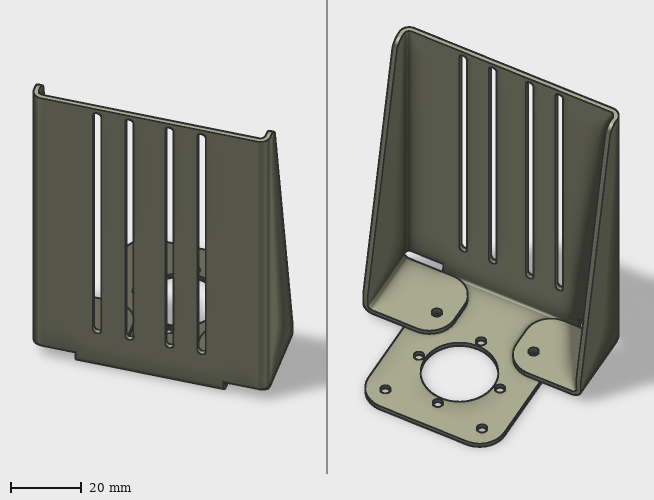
import cadquery as cq
import math

thickness = 1.5
bend_outer = 3.0
bend_inner = bend_outer - thickness

width = 69.8
depth = 54.4
height = 100.0
half_width = width / 2

base_width = 43.6
corner_radius = 8.0
motor_center_y = depth - base_width / 2
motor_bore = 22.0
screw_hole = 3.0
motor_hole_pitch = 31.0
ring_hole_radius = 13.0

side_depth = 25.0
flange_length = 25.0
flange_bottom = thickness
body_bottom = flange_bottom + bend_outer
taper_start_z = 9.0
side_top_depth = 7.0
side_top_radius = 4.0

slot_width = 2.4
slot_bottom = 13.5
slot_top = 98.5
slot_offsets = (5.9, 15.4)


def bent_strip(plane, corner, leg_a, leg_b, length):
    """L-shaped strip with legs along the plane's two axes from a rounded outer corner.

    The strip is extruded by length along the plane normal.
    """
    corner_u, corner_v = corner

    def at(u, v):
        return (corner_u + u, corner_v + v)

    outer_mid = bend_outer * (1 - math.sqrt(0.5))
    inner_mid = bend_outer - bend_inner * math.sqrt(0.5)
    return (
        cq.Workplane(plane)
        .moveTo(*at(leg_a, 0))
        .lineTo(*at(bend_outer, 0))
        .threePointArc(at(outer_mid, outer_mid), at(0, bend_outer))
        .lineTo(*at(0, leg_b))
        .lineTo(*at(thickness, leg_b))
        .lineTo(*at(thickness, bend_outer))
        .threePointArc(at(inner_mid, inner_mid), at(bend_outer, thickness))
        .lineTo(*at(leg_a, thickness))
        .close()
        .extrude(length)
    )


def make_base():
    """Base plate bent up into the front wall."""
    plane = cq.Plane(origin=(-base_width / 2, 0, 0), xDir=(0, 1, 0), normal=(1, 0, 0))
    base = bent_strip(plane, (0, 0), depth, body_bottom, base_width)
    return base.edges("|Z and >Y").fillet(corner_radius)


def make_channel():
    """Front wall with both side walls, tapered toward the top."""
    plane = cq.Plane(origin=(0, 0, body_bottom))
    wall_height = height - body_bottom
    left = bent_strip(plane, (-half_width, 0), half_width, side_depth, wall_height)
    channel = left.union(left.mirror("YZ"))
    side_profile = (
        cq.Workplane("YZ", origin=(-half_width, 0, 0))
        .polyline([
            (0, body_bottom),
            (side_depth, body_bottom),
            (side_depth, taper_start_z),
            (side_top_depth, height),
            (0, height),
        ])
        .close()
        .extrude(width)
        .edges(cq.selectors.NearestToPointSelector((0, side_top_depth, height)))
        .fillet(side_top_radius)
    )
    return channel.intersect(side_profile)


def make_left_flange():
    """Flange folded inward from the bottom of the left side wall onto the base."""
    plane = cq.Plane(origin=(0, side_depth, 0), xDir=(1, 0, 0), normal=(0, -1, 0))
    corner = (-half_width, flange_bottom)
    upright = taper_start_z - flange_bottom
    flange = bent_strip(plane, corner, flange_length, upright, side_depth - bend_outer)
    return flange.edges("|Z and >X").fillet(corner_radius)


def make_mounting_holes():
    """Cutters for the motor bore, its ring of holes and the corner screw holes."""
    cut_height = flange_bottom + thickness
    center = cq.Workplane("XY").center(0, motor_center_y)
    bore = center.circle(motor_bore / 2).extrude(cut_height)
    ring = center.polarArray(ring_hole_radius, 0, 360, 4).circle(screw_hole / 2).extrude(cut_height)
    corners = (
        center.rect(motor_hole_pitch, motor_hole_pitch, forConstruction=True)
        .vertices()
        .circle(screw_hole / 2)
        .extrude(cut_height)
    )
    return bore.union(ring).union(corners)


def make_slots():
    """Cutters for the vertical slots through the front wall."""
    middle_z = (slot_top + slot_bottom) / 2
    positions = [(side * offset, middle_z) for offset in slot_offsets for side in (-1, 1)]
    return (
        cq.Workplane("XZ")
        .pushPoints(positions)
        .slot2D(slot_top - slot_bottom, slot_width, 90)
        .extrude(-thickness)
    )


left_flange = make_left_flange()
bracket = make_base().union(make_channel()).union(left_flange).union(left_flange.mirror("YZ"))
result = bracket.cut(make_mounting_holes()).cut(make_slots())